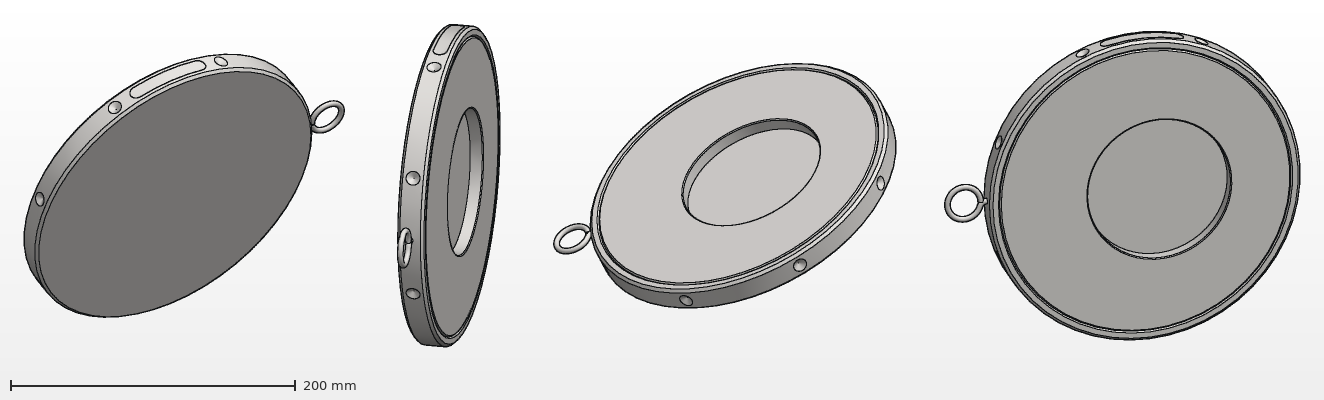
import cadquery as cq
import math

OVERALL_LENGTH = 256.5

DISC_DIAMETER = 226.0
DISC_THICKNESS = 19.0
RIM_CHAMFER = 2.0
DISC_RADIUS = DISC_DIAMETER / 2
FRONT_X = -DISC_THICKNESS / 2

GROOVE_RADIUS = 106.0
GROOVE_WIDTH = 2.0

POCKET_DIAMETER = 104.0
POCKET_DEPTH = 9.5
POCKET_OFFSET_Y = -10.0
POCKET_CHAMFER = 0.8

DIMPLE_COUNT = 8
DIMPLE_DIAMETER = 10.0
DIMPLE_DEPTH = 3.0
DIMPLE_TIP_DIAMETER = 0.1
DIMPLE_CLEARANCE = 1.3

PAD_LENGTH = 60.3
PAD_WIDTH = 10.0
PAD_HEIGHT = 0.3

WIRE_DIAMETER = 4.0
RING_INNER_DIAMETER = 20.0
BEND_INNER_DIAMETER = 6.0
CLOSING_ANGLE = 34.0
SHANK_EMBED = 7.7
WIRE_RADIUS = WIRE_DIAMETER / 2
RING_RADIUS = RING_INNER_DIAMETER / 2 + WIRE_RADIUS
BEND_RADIUS = BEND_INNER_DIAMETER / 2 + WIRE_RADIUS
RING_CENTRE_Y = OVERALL_LENGTH - DISC_RADIUS - RING_RADIUS - WIRE_RADIUS


def x_cylinder(radius, start_x, length, centre_y=0.0):
    """Solid cylinder along +X."""
    direction = cq.Vector(1, 0, 0)
    return cq.Workplane(cq.Solid.makeCylinder(radius, length, cq.Vector(start_x, centre_y, 0), direction))


def make_disc():
    """Chamfered disc with the V-groove in its front face, revolved about X."""
    back_x = DISC_THICKNESS / 2
    groove_half_width = GROOVE_WIDTH / 2
    half_section = [
        (FRONT_X, 0),
        (FRONT_X, GROOVE_RADIUS - groove_half_width),
        (FRONT_X + groove_half_width, GROOVE_RADIUS),
        (FRONT_X, GROOVE_RADIUS + groove_half_width),
        (FRONT_X, DISC_RADIUS - RIM_CHAMFER),
        (FRONT_X + RIM_CHAMFER, DISC_RADIUS),
        (back_x - RIM_CHAMFER, DISC_RADIUS),
        (back_x, DISC_RADIUS - RIM_CHAMFER),
        (back_x, 0),
    ]
    return cq.Workplane("XY").polyline(half_section).close().revolve(360, (0, 0, 0), (1, 0, 0))


def make_pocket():
    """Pocket cutter with a 45 degree lead-in at its mouth."""
    radius = POCKET_DIAMETER / 2
    lead_in = cq.Solid.makeCone(
        radius + POCKET_CHAMFER, radius, POCKET_CHAMFER,
        cq.Vector(FRONT_X, POCKET_OFFSET_Y, 0), cq.Vector(1, 0, 0),
    )
    return x_cylinder(radius, FRONT_X, POCKET_DEPTH, POCKET_OFFSET_Y).union(cq.Workplane(lead_in))


def make_dimple(angle):
    """Cone pointing at the disc axis, with its mouth on the rim at the given angle from +Y."""
    mouth_radius = DIMPLE_DIAMETER / 2
    tip_radius = DIMPLE_TIP_DIAMETER / 2
    slope = (mouth_radius - tip_radius) / DIMPLE_DEPTH
    outward = cq.Vector(0, math.cos(angle), math.sin(angle))
    return cq.Workplane(cq.Solid.makeCone(
        mouth_radius + slope * DIMPLE_CLEARANCE, tip_radius, DIMPLE_DEPTH + DIMPLE_CLEARANCE,
        outward * (DISC_RADIUS + DIMPLE_CLEARANCE), outward * -1,
    ))


def make_pad():
    """Slot-shaped pad that follows the curve of the rim."""
    outline = cq.Workplane("XY").slot2D(PAD_LENGTH, PAD_WIDTH, 90).extrude(DISC_DIAMETER)
    band = x_cylinder(DISC_RADIUS + PAD_HEIGHT, FRONT_X, DISC_THICKNESS).cut(
        x_cylinder(DISC_RADIUS - RIM_CHAMFER, FRONT_X, DISC_THICKNESS)
    )
    return outline.intersect(band)


def ring_point(angle):
    """Point (Y, Z) on the ring's wire centreline; angle 0 faces the disc."""
    return (
        RING_CENTRE_Y - RING_RADIUS * math.cos(angle),
        RING_RADIUS * math.sin(angle),
    )


def make_eye():
    """One wire that leaves the disc as a shank, bends into a ring and closes against the bend."""
    touch_angle = math.asin(BEND_RADIUS / (RING_RADIUS + BEND_RADIUS))
    bend_angle = math.pi / 2 - touch_angle
    bend_centre_y = RING_CENTRE_Y - (RING_RADIUS + BEND_RADIUS) * math.cos(touch_angle)

    def bend_point(angle):
        """Point (Y, Z) on the bend at an angle from its shank end, measured towards the ring."""
        return (
            bend_centre_y + BEND_RADIUS * math.sin(angle),
            BEND_RADIUS * (math.cos(angle) - 1),
        )

    closing_angle = math.radians(CLOSING_ANGLE)
    shank_end = (DISC_RADIUS - SHANK_EMBED, 0)
    main_path = (
        cq.Workplane("YZ")
        .moveTo(*shank_end)
        .lineTo(*bend_point(0))
        .threePointArc(bend_point(bend_angle / 2), bend_point(bend_angle))
        .threePointArc(ring_point(math.pi), ring_point(closing_angle))
    )
    main_wire = cq.Workplane("XZ", origin=(0, *shank_end)).circle(WIRE_RADIUS).sweep(main_path)

    closing_path = (
        cq.Workplane("YZ")
        .moveTo(*ring_point(0))
        .threePointArc(ring_point(closing_angle / 2), ring_point(closing_angle))
    )
    closing_wire = cq.Workplane("XY", origin=(0, *ring_point(0))).circle(WIRE_RADIUS).sweep(closing_path)
    return main_wire.union(closing_wire)


result = make_disc().union(make_pad()).cut(make_pocket())

dimple_step = 2 * math.pi / DIMPLE_COUNT
for index in range(DIMPLE_COUNT):
    result = result.cut(make_dimple((index + 0.5) * dimple_step))

result = result.union(make_eye())